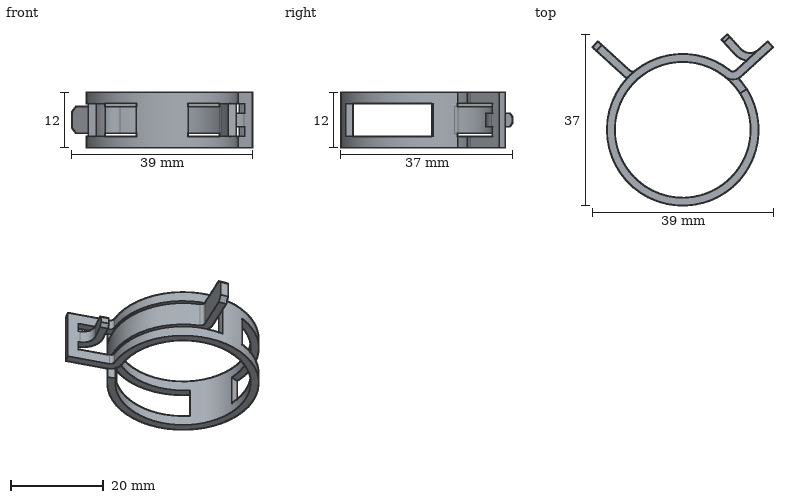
import cadquery as cq
import math


outer_radius = 16.38
thickness = 1.75
inner_radius = outer_radius - thickness
strap_width = 12.0
end_angle = 32.5

tab_angle = 42.4
tab_reach = 26.4
bend_radius = 0.98

window_height = 7.05
window_start_angle = -70.0
window_stop_angle = 12.6
slot_end_bar = 2.35

tongue_width = 5.8
tongue_chamfer = 1.17
root_overlap = 3.0

hook_width = 2.95
hook_chamfer = 0.78
hook_root = 0.3
hook_bend_radius = 2.73
hook_height = 8.75

bend_centre_radius = outer_radius + bend_radius
bend_outer_radius = bend_radius + thickness
bend_angle = tab_angle + math.degrees(math.asin(bend_outer_radius / bend_centre_radius))
bend_reach = math.sqrt(bend_centre_radius**2 - bend_outer_radius**2)
slot_reach = tab_reach - slot_end_bar


def polar(radius, angle):
    """Plan point at a radius and an angle in degrees."""
    return (radius * math.cos(math.radians(angle)), radius * math.sin(math.radians(angle)))


def tab_point(along, across):
    """Plan point at a distance along the tab and a height above its lower face."""
    along_x, along_y = polar(along, tab_angle)
    across_x, across_y = polar(across, tab_angle + 90)
    return (along_x + across_x, along_y + across_y)


def bend_point(radius):
    """Plan point halfway round the bend between ring and tab."""
    centre_x, centre_y = polar(bend_centre_radius, bend_angle)
    angle_at_ring = bend_angle + 180
    angle_at_tab = tab_angle + 270
    offset_x, offset_y = polar(radius, (angle_at_ring + angle_at_tab) / 2)
    return (centre_x + offset_x, centre_y + offset_y)


def extrude_centred(plan, height):
    """Solid of the given height, centred on the XY plane."""
    return plan.close().extrude(height / 2, both=True)


def bent_strap(far_angle, reach, width):
    """Strap rolled from far_angle back to the bend, then running straight out to reach."""
    middle_angle = (far_angle + bend_angle) / 2
    plan = (
        cq.Workplane("XY")
        .moveTo(*polar(inner_radius, far_angle))
        .threePointArc(polar(inner_radius, middle_angle), polar(inner_radius, bend_angle))
        .threePointArc(bend_point(bend_outer_radius), tab_point(bend_reach, 0))
        .lineTo(*tab_point(reach, 0))
        .lineTo(*tab_point(reach, thickness))
        .lineTo(*tab_point(bend_reach, thickness))
        .threePointArc(bend_point(bend_radius), polar(outer_radius, bend_angle))
        .threePointArc(polar(outer_radius, middle_angle), polar(outer_radius, far_angle))
    )
    return extrude_centred(plan, width)


def ring_window(start_angle, stop_angle):
    """Cutter for a window with radial ends."""
    middle_angle = (start_angle + stop_angle) / 2
    inside = inner_radius - thickness
    outside = outer_radius + thickness
    plan = (
        cq.Workplane("XY")
        .moveTo(*polar(inside, start_angle))
        .lineTo(*polar(outside, start_angle))
        .threePointArc(polar(outside, middle_angle), polar(outside, stop_angle))
        .lineTo(*polar(inside, stop_angle))
        .threePointArc(polar(inside, middle_angle), polar(inside, start_angle))
    )
    return extrude_centred(plan, window_height)


def hook():
    """Narrow strip that leaves the slot's end bar along the tab and bends up by 90 degrees."""
    outer_bend = hook_bend_radius + thickness
    bend_start = slot_reach - hook_root
    near_face = bend_start - outer_bend
    far_face = near_face + thickness
    diagonal = math.sqrt(0.5)
    plan = (
        cq.Workplane("XY")
        .moveTo(*tab_point(slot_reach, 0))
        .lineTo(*tab_point(bend_start, 0))
        .threePointArc(
            tab_point(bend_start - outer_bend * diagonal, outer_bend * (1 - diagonal)),
            tab_point(near_face, outer_bend),
        )
        .lineTo(*tab_point(near_face, hook_height))
        .lineTo(*tab_point(far_face, hook_height))
        .lineTo(*tab_point(far_face, outer_bend))
        .threePointArc(
            tab_point(bend_start - hook_bend_radius * diagonal, outer_bend - hook_bend_radius * diagonal),
            tab_point(bend_start, thickness),
        )
        .lineTo(*tab_point(slot_reach, thickness))
    )
    tip_centre = tab_point((near_face + far_face) / 2, hook_height)
    return chamfer_tip(extrude_centred(plan, hook_width), tip_centre, hook_chamfer)


def chamfer_tip(strip, tip_centre, size):
    """Bevel the upper and lower corner of a strip at its tip."""
    tip_face = cq.selectors.NearestToPointSelector((*tip_centre, 0))
    return strip.faces(tip_face).edges("#Z").chamfer(size)


right_window = ring_window(window_start_angle, window_stop_angle)
left_window = right_window.mirror("YZ")

slot = bent_strap(180 - end_angle, slot_reach, window_height)
wide_strap = bent_strap(360 + end_angle, tab_reach, strap_width)
wide_strap = wide_strap.cut(slot).cut(right_window).cut(left_window).union(hook())

tongue = bent_strap(180 - end_angle + root_overlap, tab_reach, tongue_width)
tongue = chamfer_tip(tongue, tab_point(tab_reach, thickness / 2), tongue_chamfer).mirror("YZ")

result = wide_strap.union(tongue, clean=False)